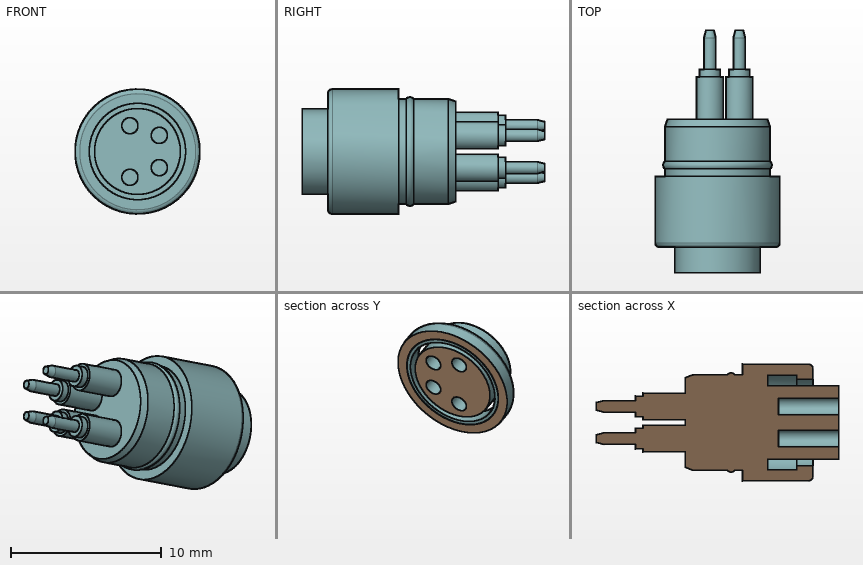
import cadquery as cq

COLLAR_FRONT = 1.7
COLLAR_LENGTH = 4.7
BODY_REAR = 10.2
SLEEVE_REAR = 13.0
SHOULDER_LENGTH = 0.5
PIN_TIP = 16.1
COLLAR_REAR = COLLAR_FRONT + COLLAR_LENGTH
SHOULDER_REAR = SLEEVE_REAR + SHOULDER_LENGTH

INSERT_DIAMETER = 5.7
COLLAR_DIAMETER = 8.3
BODY_DIAMETER = 7.0
LIP_DIAMETER = 6.4
BORE_DIAMETER = 6.9
SLEEVE_DIAMETER = 1.8
SHOULDER_DIAMETER = 1.4
PIN_DIAMETER = 0.8
SOCKET_DIAMETER = 1.07

COLLAR_FILLET = 0.3
TAPER_LENGTH = 0.5
BODY_TAPER_DEPTH = 0.18
PIN_TAPER_DEPTH = 0.13

RING_GAP = 0.5
RING_WIDTH = 0.5
RING_HEIGHT = 0.12
RING_FRONT = COLLAR_REAR + RING_GAP
RING_REAR = RING_FRONT + RING_WIDTH

LIP_LENGTH = 1.1
RECESS_DEPTH = 3.0
LIP_REAR = COLLAR_FRONT + LIP_LENGTH
RECESS_FLOOR = COLLAR_FRONT + RECESS_DEPTH

NARROW_PAIR_X = 1.45
NARROW_PAIR_SPACING = 2.14
WIDE_PAIR_X = -0.5
WIDE_PAIR_SPACING = 3.42
CONTACT_POSITIONS = [
    (pair_x, side * spacing / 2)
    for pair_x, spacing in ((NARROW_PAIR_X, NARROW_PAIR_SPACING), (WIDE_PAIR_X, WIDE_PAIR_SPACING))
    for side in (-1, 1)
]
SOCKET_DEPTH = 4.0


def disc(diameter, start, end, x=0.0, z=0.0):
    """Cylinder along Y between two stations."""
    plane = cq.Plane(origin=(x, start, z), xDir=(1, 0, 0), normal=(0, 1, 0))
    return cq.Workplane(plane).circle(diameter / 2).extrude(end - start)


def tapered_rod(diameter, start, end, taper_depth):
    """Rod on the Y axis whose rear end narrows by taper_depth per side over TAPER_LENGTH."""
    radius = diameter / 2
    profile = [
        (0, start),
        (radius, start),
        (radius, end - TAPER_LENGTH),
        (radius - taper_depth, end),
        (0, end),
    ]
    return cq.Workplane("XY").polyline(profile).close().revolve(360, (0, 0), (0, 1))


def make_collar():
    collar = disc(COLLAR_DIAMETER, COLLAR_FRONT, COLLAR_REAR)
    return collar.faces("<Y").edges().fillet(COLLAR_FILLET)


def make_body():
    return tapered_rod(BODY_DIAMETER, COLLAR_REAR, BODY_REAR, BODY_TAPER_DEPTH)


def make_sealing_ring():
    """Disc whose rim is an arc bulging out of the body surface."""
    radius = BODY_DIAMETER / 2
    crown = (radius + RING_HEIGHT, (RING_FRONT + RING_REAR) / 2)
    section = (
        cq.Workplane("XY")
        .moveTo(0, RING_FRONT)
        .lineTo(radius, RING_FRONT)
        .threePointArc(crown, (radius, RING_REAR))
        .lineTo(0, RING_REAR)
        .close()
    )
    return section.revolve(360, (0, 0), (0, 1))


def make_recess():
    """Ring-shaped cavity around the insert, wider behind the collar's front lip."""
    mouth = disc(LIP_DIAMETER, COLLAR_FRONT, LIP_REAR)
    chamber = disc(BORE_DIAMETER, LIP_REAR, RECESS_FLOOR)
    return mouth.union(chamber).cut(make_insert())


def make_contact(x, z):
    """Insulating sleeve, shoulder and pin of one contact, with its axis at (x, z)."""
    sleeve = disc(SLEEVE_DIAMETER, BODY_REAR, SLEEVE_REAR, x, z)
    shoulder = disc(SHOULDER_DIAMETER, SLEEVE_REAR, SHOULDER_REAR, x, z)
    pin = tapered_rod(PIN_DIAMETER, SHOULDER_REAR, PIN_TIP, PIN_TAPER_DEPTH).translate((x, 0, z))
    return sleeve.union(shoulder).union(pin)


def make_socket(x, z):
    """Blind hole in the mating face, in line with one contact."""
    return disc(SOCKET_DIAMETER, 0, SOCKET_DEPTH, x, z)


def make_insert():
    return disc(INSERT_DIAMETER, 0, RECESS_FLOOR)


result = make_collar().union(make_body()).union(make_sealing_ring())
result = result.cut(make_recess()).union(make_insert())
for contact_x, contact_z in CONTACT_POSITIONS:
    result = result.union(make_contact(contact_x, contact_z))
    result = result.cut(make_socket(contact_x, contact_z))